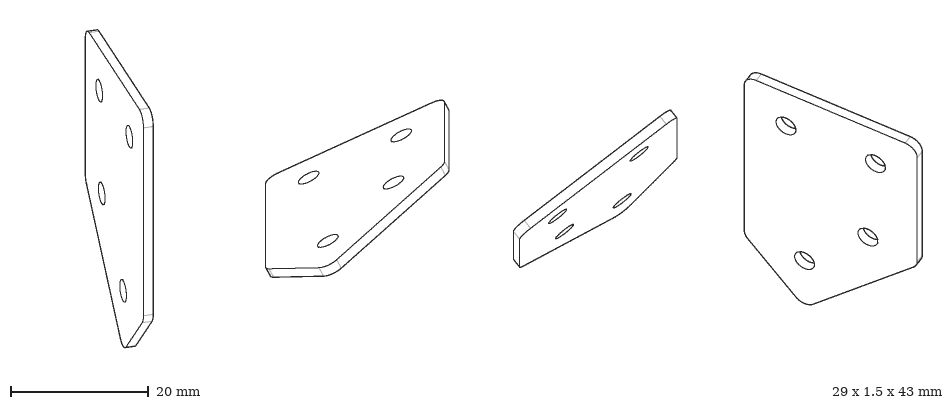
import cadquery as cq
import math

width = 29.0
thickness = 1.5
height = 42.95
corner_radius = 2.0

hole_diameter = 3.3
upper_hole_inset = 7.0
tip_hole_height = 9.1
lower_hole_spacing = 10.6

left = -width / 2
right = width / 2
tip_x = 4.4

sharp_tip_z = -corner_radius * (math.sqrt(2) - 1)
left_shoulder_z = sharp_tip_z + (tip_x - left)
right_shoulder_z = sharp_tip_z + (right - tip_x)

outline = [
    (left, height),
    (right, height),
    (right, right_shoulder_z),
    (tip_x, sharp_tip_z),
    (left, left_shoulder_z),
]

upper_hole_z = height - upper_hole_inset
hole_centers = [
    (left + upper_hole_inset, upper_hole_z),
    (right - upper_hole_inset, upper_hole_z),
    (tip_x - lower_hole_spacing, tip_hole_height + lower_hole_spacing),
    (tip_x, tip_hole_height),
]

plate = (
    cq.Workplane("XZ", origin=(0, thickness / 2, 0))
    .polyline(outline)
    .close()
    .extrude(thickness)
    .edges("|Y")
    .fillet(corner_radius)
)

holes = (
    cq.Workplane("XZ", origin=(0, thickness / 2, 0))
    .pushPoints(hole_centers)
    .circle(hole_diameter / 2)
    .extrude(thickness)
)

result = plate.cut(holes)